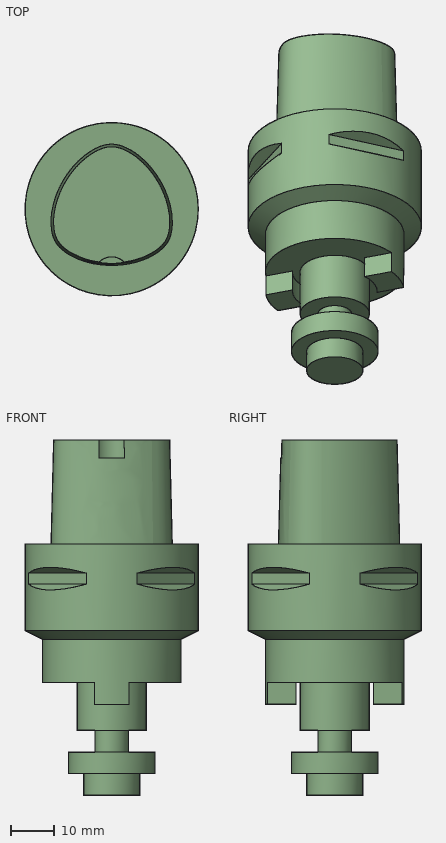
import cadquery as cq
import math

SHANK_HEIGHT = 24.0
SHANK_MEAN_RADIUS = 14.0
SHANK_ECCENTRICITY = 1.0
SHANK_TAPER = 1 / 40
LOBE_COUNT = 3
FIRST_LOBE_ANGLE = 90.0
FACE_SPAN = 180.0 / LOBE_COUNT
CURVE_INTERVALS = 8

NOTCH_DEPTH = 4.2
NOTCH_RADIUS = 4.0
NOTCH_CENTRE_Y = -15.0

FLANGE_DIAMETER = 40.0
FLANGE_THICKNESS = 20.0
CONE_HEIGHT = 2.0
COLLAR_DIAMETER = 32.0
COLLAR_HEIGHT = 10.0
SPIGOT_DIAMETER = 16.0
SPIGOT_HEIGHT = 11.0
NECK_DIAMETER = 7.79
NECK_HEIGHT = 5.0
HEAD_DIAMETER = 20.0
HEAD_HEIGHT = 5.0
END_DIAMETER = 13.0
END_HEIGHT = 5.0

SLOT_ANGLES = (45.0, 135.0, 225.0, 315.0)
SLOT_CENTRE_Z = -8.0
SLOT_FLOOR_HEIGHT = 2.5
SLOT_FLOOR_DISTANCE = 17.65
SLOT_WALL_ANGLE = 30.0

TANG_WIDTH = 8.0
TANG_HEIGHT = 5.0
TANG_INNER_DIAMETER = 19.5

COLLAR_BOTTOM_Z = -(FLANGE_THICKNESS + CONE_HEIGHT + COLLAR_HEIGHT)


def shank_point(mean_radius, normal_angle):
    """Outline point whose outward normal is at normal_angle degrees.

    The tangent line there lies mean_radius + eccentricity * cos(lobes * turn) from the axis,
    with the turn counted from the first lobe.
    """
    normal = math.radians(normal_angle)
    turn = LOBE_COUNT * math.radians(normal_angle - FIRST_LOBE_ANGLE)
    reach = mean_radius + SHANK_ECCENTRICITY * math.cos(turn)
    slide = -LOBE_COUNT * SHANK_ECCENTRICITY * math.sin(turn)
    x = reach * math.cos(normal) - slide * math.sin(normal)
    y = reach * math.sin(normal) + slide * math.cos(normal)
    return (x, y)


def shank_outline(plane, mean_radius):
    """Closed outline of alternating lobe and side curves on a workplane."""
    face_start = FIRST_LOBE_ANGLE - FACE_SPAN / 2
    outline = plane.moveTo(*shank_point(mean_radius, face_start))
    for _ in range(2 * LOBE_COUNT):
        face_points = [
            shank_point(mean_radius, face_start + FACE_SPAN * step / CURVE_INTERVALS)
            for step in range(1, CURVE_INTERVALS + 1)
        ]
        outline = outline.spline(face_points, includeCurrent=True)
        face_start += FACE_SPAN
    return outline.close()


def make_shank():
    """Shank narrowing evenly from the flange face to its top."""
    base = shank_outline(cq.Workplane("XY"), SHANK_MEAN_RADIUS)
    top_radius = SHANK_MEAN_RADIUS - SHANK_HEIGHT * SHANK_TAPER
    top = shank_outline(cq.Workplane("XY", origin=(0, 0, SHANK_HEIGHT)), top_radius)
    return cq.Workplane(cq.Solid.makeLoft([base.val(), top.val()], True))


def make_notch():
    """Upright round cutter for the notch in the shank's -Y side, standing clear of the top."""
    return (
        cq.Workplane("XY", origin=(0, NOTCH_CENTRE_Y, SHANK_HEIGHT - NOTCH_DEPTH))
        .circle(NOTCH_RADIUS)
        .extrude(2 * NOTCH_DEPTH)
    )


def make_body():
    """Flange, cone and the round steps below, turned about the Z axis."""
    steps = (
        (FLANGE_DIAMETER, FLANGE_DIAMETER, FLANGE_THICKNESS),
        (FLANGE_DIAMETER, COLLAR_DIAMETER, CONE_HEIGHT),
        (COLLAR_DIAMETER, COLLAR_DIAMETER, COLLAR_HEIGHT),
        (SPIGOT_DIAMETER, SPIGOT_DIAMETER, SPIGOT_HEIGHT),
        (NECK_DIAMETER, NECK_DIAMETER, NECK_HEIGHT),
        (HEAD_DIAMETER, HEAD_DIAMETER, HEAD_HEIGHT),
        (END_DIAMETER, END_DIAMETER, END_HEIGHT),
    )
    z = 0.0
    points = [(0, z)]
    for top_diameter, bottom_diameter, height in steps:
        corners = ((top_diameter / 2, z), (bottom_diameter / 2, z - height))
        points += [corner for corner in corners if corner != points[-1]]
        z -= height
    points.append((0, z))
    return cq.Workplane("XZ").polyline(points).close().revolve(360, (0, 0), (0, 1))


def make_slot(angle):
    """Straight cutter with a flat floor and flaring walls, facing outward at an angle."""
    mouth_distance = FLANGE_DIAMETER / 2
    flare = (mouth_distance - SLOT_FLOOR_DISTANCE) * math.tan(math.radians(SLOT_WALL_ANGLE))
    floor_half = SLOT_FLOOR_HEIGHT / 2
    mouth_half = floor_half + flare
    return (
        cq.Workplane("XZ")
        .polyline([
            (SLOT_FLOOR_DISTANCE, SLOT_CENTRE_Z - floor_half),
            (mouth_distance, SLOT_CENTRE_Z - mouth_half),
            (mouth_distance, SLOT_CENTRE_Z + mouth_half),
            (SLOT_FLOOR_DISTANCE, SLOT_CENTRE_Z + floor_half),
        ])
        .close()
        .extrude(FLANGE_DIAMETER / 2, both=True)
        .rotate((0, 0, 0), (0, 0, 1), angle)
    )


def make_tangs():
    """Two opposite tangs on the Y axis, cut from a ring under the collar."""
    ring = (
        cq.Workplane("XY", origin=(0, 0, COLLAR_BOTTOM_Z))
        .circle(COLLAR_DIAMETER / 2)
        .circle(TANG_INNER_DIAMETER / 2)
        .extrude(-TANG_HEIGHT)
    )
    bar = (
        cq.Workplane("XY", origin=(0, 0, COLLAR_BOTTOM_Z))
        .rect(TANG_WIDTH, COLLAR_DIAMETER)
        .extrude(-TANG_HEIGHT)
    )
    return ring.intersect(bar)


body = make_body().union(make_tangs())
for slot_angle in SLOT_ANGLES:
    body = body.cut(make_slot(slot_angle))

result = body.union(make_shank().cut(make_notch()))